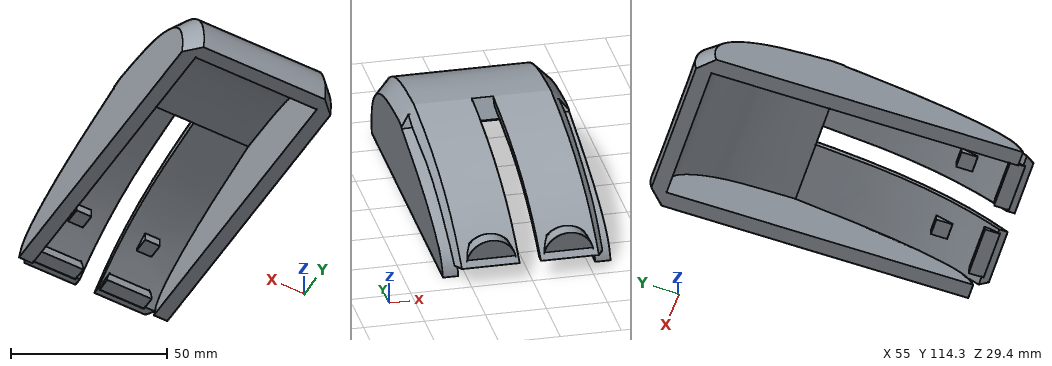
import cadquery as cq

WIDTH = 55.0
HEIGHT = 29.4
REAR_Y = 44.6
CHAMFER = 5.0
SIDE_WALL = CHAMFER
FINGER_GAP = 7.0
GROUND_TIP_Y = -75.4

FINGER_BOTTOM_Z = 5.1
FINGER_BOTTOM_END_Y = -66.8
SLOT_ROOT_TOP_Y = -1.8
SLOT_ROOT_BOTTOM = (-4.5, 23.4)
WALL_TIP = (-64.4, 0)

POST_REAR_Y = -47.9
POST_WIDTH = 5.5
POST_BOTTOM_Z = 13.1
POST_REAR_TOP_Z = 17.1
POST_FRONT_TOP_Z = 14.3

TAB_RADIUS = 8.2
TAB_LENGTH = 5.0
TAB_REAR_Y = -62.5
TAB_BOTTOM_Z = 4.9
TAB_CENTERS_X = (-12.3, 13.0)

CREST = (0, HEIGHT)
ROOT_SLOPE = (SLOT_ROOT_BOTTOM[1] - HEIGHT) / SLOT_ROOT_BOTTOM[0]
SLOT_ROOT_TOP = (SLOT_ROOT_TOP_Y, HEIGHT + ROOT_SLOPE * SLOT_ROOT_TOP_Y)

REAR_FOOT = (REAR_Y - 0.3, 0)
REAR_CURVE = [(REAR_Y, 4.1), (41.6, 15.1), (32.7, 23.0), (19.0, 27.5), CREST]
FINGER_TIP = (-69.7, FINGER_BOTTOM_Z)
FRONT_CURVE = [(-22.4, 26.2), (-43.1, 20.5), (-56.8, 14.2), FINGER_TIP, (GROUND_TIP_Y, 0)]
CAVITY_FOOT = (39.1, 0)
CAVITY_CURVE = [(39.4, 4.1), (37.0, 12.9), (30.3, 18.5), (18.5, 22.3), SLOT_ROOT_BOTTOM]
WALL_TOP_CURVE = [(-22.4, 19.7), (-39.5, 15.2), (-54.7, 9.4), (-60.9, 5.5), WALL_TIP]
FINGER_BOTTOM_END = (FINGER_BOTTOM_END_Y, FINGER_BOTTOM_Z)
UNDERSIDE_CURVE = [(-56.8, 11.8), (-43.1, 18.2), (-22.4, 23.8), (-8.6, 25.8), SLOT_ROOT_TOP]


def centered_extrude(profile, width):
    """Extrude a closed YZ profile along X, half to each side of X = 0."""
    return profile.extrude(width).translate((-width / 2, 0, 0))


def make_shell_blank():
    """Solid back shape with both long edges of its curved top chamfered."""
    profile = (
        cq.Workplane("YZ")
        .moveTo(*REAR_FOOT)
        .spline(REAR_CURVE, includeCurrent=True)
        .spline(FRONT_CURVE, includeCurrent=True)
        .close()
    )
    blank = centered_extrude(profile, WIDTH)
    return blank.faces("<X or >X").edges("not <Z").chamfer(CHAMFER)


def make_cavity():
    """Hollow between the side walls, open at the bottom and the front."""
    profile = (
        cq.Workplane("YZ")
        .moveTo(*CAVITY_FOOT)
        .spline(CAVITY_CURVE, includeCurrent=True)
        .spline(WALL_TOP_CURVE, includeCurrent=True)
        .close()
    )
    return centered_extrude(profile, WIDTH - 2 * SIDE_WALL)


def make_slot():
    """Full-width opening between the fingers and the side walls."""
    profile = (
        cq.Workplane("YZ")
        .moveTo(*SLOT_ROOT_BOTTOM)
        .spline(WALL_TOP_CURVE, includeCurrent=True)
        .lineTo(GROUND_TIP_Y, 0)
        .lineTo(GROUND_TIP_Y, FINGER_BOTTOM_Z)
        .lineTo(*FINGER_BOTTOM_END)
        .spline(UNDERSIDE_CURVE, includeCurrent=True)
        .close()
    )
    return centered_extrude(profile, WIDTH)


def make_finger_gap():
    """Gap that parts the top into two fingers; its sloped end reaches the crest."""
    corners = [
        CREST,
        SLOT_ROOT_BOTTOM,
        (SLOT_ROOT_BOTTOM[0], 0),
        (GROUND_TIP_Y, 0),
        (GROUND_TIP_Y, HEIGHT),
    ]
    profile = cq.Workplane("YZ").polyline(corners).close()
    return centered_extrude(profile, FINGER_GAP)


def make_post(center_x):
    """Square post whose top stays inside the sloping finger."""
    front_y = POST_REAR_Y - POST_WIDTH
    corners = [
        (POST_REAR_Y, POST_BOTTOM_Z),
        (POST_REAR_Y, POST_REAR_TOP_Z),
        (front_y, POST_FRONT_TOP_Z),
        (front_y, POST_BOTTOM_Z),
    ]
    profile = cq.Workplane("YZ").polyline(corners).close()
    return centered_extrude(profile, POST_WIDTH).translate((center_x, 0, 0))


def make_tab(center_x):
    """Half-round tab standing across a finger tip, flat side down."""
    return (
        cq.Workplane("XZ", origin=(center_x, TAB_REAR_Y, TAB_BOTTOM_Z))
        .moveTo(-TAB_RADIUS, 0)
        .threePointArc((0, TAB_RADIUS), (TAB_RADIUS, 0))
        .close()
        .extrude(TAB_LENGTH)
    )


def make_housing(tabs):
    """Hollow back with two springy fingers, recessed where the tabs pass through."""
    housing = make_shell_blank().cut(make_cavity()).cut(make_slot()).cut(make_finger_gap())
    for center_x in TAB_CENTERS_X:
        housing = housing.union(make_post(center_x))
    for tab in tabs:
        housing = housing.cut(tab)
    return housing


tabs = [make_tab(center_x) for center_x in TAB_CENTERS_X]
housing = make_housing(tabs)

result = cq.Compound.makeCompound([housing.solids().val(), *[tab.val() for tab in tabs]])